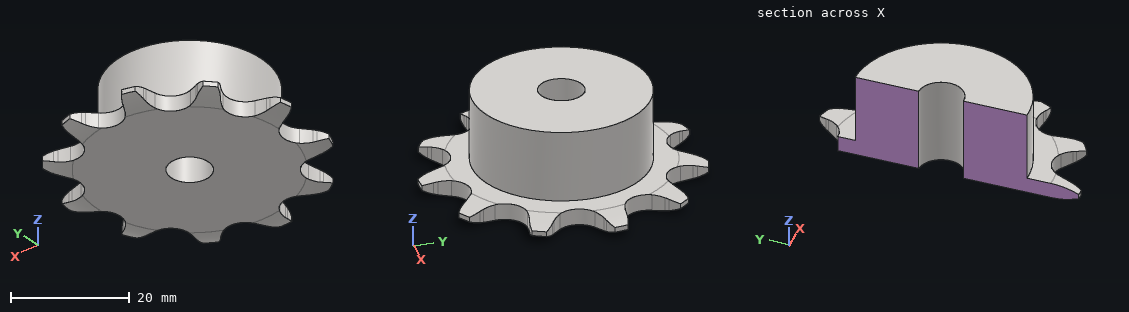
import cadquery as cq
import math

tooth_count = 11
chain_pitch = 12.7
roller_diameter = 7.75

plate_thickness = 3.0
total_height = 16.0
hub_diameter = 31.0
bore_diameter = 8.0

tip_radius = 24.8
relief_start_radius = 19.78
relief_arc_radius = chain_pitch

pitch_radius = chain_pitch / (2 * math.sin(math.pi / tooth_count))
half_tooth_angle = math.pi / tooth_count
fixed_roller_play = 0.0762
roller_play = 0.005 * roller_diameter + fixed_roller_play
seating_radius = (roller_diameter + roller_play) / 2
seating_angle = math.radians(35 + 60 / tooth_count)
working_sweep = math.radians(18 - 56 / tooth_count)
working_center_distance = 0.8 * roller_diameter
topping_center_distance = 1.4 * roller_diameter
gap_clearance = 0.2


def polar(center, radius, angle):
    """Point at a given radius and angle around a center."""
    return (center[0] + radius * math.cos(angle), center[1] + radius * math.sin(angle))


def mirrored(point):
    """Point on the other side of the gap's center line."""
    return (-point[0], point[1])


def make_plate():
    """Round plate whose rim thins towards the tooth tips along an arc on each face."""
    def relief_depth(radius):
        run = radius - relief_start_radius
        return relief_arc_radius - math.sqrt(relief_arc_radius**2 - run**2)

    mid_radius = (relief_start_radius + tip_radius) / 2
    mid_depth = relief_depth(mid_radius)
    tip_depth = relief_depth(tip_radius)
    return (
        cq.Workplane("XZ")
        .moveTo(0, 0)
        .lineTo(relief_start_radius, 0)
        .threePointArc((mid_radius, mid_depth), (tip_radius, tip_depth))
        .lineTo(tip_radius, plate_thickness - tip_depth)
        .threePointArc(
            (mid_radius, plate_thickness - mid_depth),
            (relief_start_radius, plate_thickness),
        )
        .lineTo(0, plate_thickness)
        .close()
        .revolve(360, (0, 0), (0, 1))
    )


def make_tooth_gap():
    """Cutter for the gap centered on +Y: seating arc, working arcs, flats and topping arcs."""
    roller_center = (0, pitch_radius)
    flank_angle = seating_angle - working_sweep

    seating_bottom = (0, pitch_radius - seating_radius)
    seating_end = polar(roller_center, seating_radius, -seating_angle)

    working_center = polar(roller_center, working_center_distance, math.pi - seating_angle)
    working_radius = working_center_distance + seating_radius
    working_mid = polar(working_center, working_radius, -seating_angle + working_sweep / 2)
    working_end = polar(working_center, working_radius, -flank_angle)

    topping_center = polar(roller_center, topping_center_distance, -half_tooth_angle)
    topping_radius = (
        (topping_center[0] - working_end[0]) * math.cos(flank_angle)
        - (topping_center[1] - working_end[1]) * math.sin(flank_angle)
    )
    topping_start_angle = math.pi - flank_angle
    topping_start = polar(topping_center, topping_radius, topping_start_angle)
    cutter_top = tip_radius + gap_clearance
    topping_end_angle = math.pi - math.asin((cutter_top - topping_center[1]) / topping_radius)
    topping_mid_angle = (topping_start_angle + topping_end_angle) / 2
    topping_mid = polar(topping_center, topping_radius, topping_mid_angle)
    topping_end = polar(topping_center, topping_radius, topping_end_angle)

    return (
        cq.Workplane("XY")
        .moveTo(*mirrored(seating_end))
        .threePointArc(seating_bottom, seating_end)
        .threePointArc(working_mid, working_end)
        .lineTo(*topping_start)
        .threePointArc(topping_mid, topping_end)
        .lineTo(*mirrored(topping_end))
        .threePointArc(mirrored(topping_mid), mirrored(topping_start))
        .lineTo(*mirrored(working_end))
        .threePointArc(mirrored(working_mid), mirrored(seating_end))
        .close()
        .extrude(plate_thickness)
    )


def make_sprocket():
    """Toothed plate with the hub on its top face and a bore through both."""
    sprocket = make_plate()
    gap = make_tooth_gap()
    for index in range(tooth_count):
        angle = 360 * index / tooth_count
        sprocket = sprocket.cut(gap.rotate((0, 0, 0), (0, 0, 1), angle))
    hub = cq.Workplane("XY").circle(hub_diameter / 2).extrude(total_height)
    bore = cq.Workplane("XY").circle(bore_diameter / 2).extrude(total_height)
    return sprocket.union(hub).cut(bore)


result = make_sprocket()